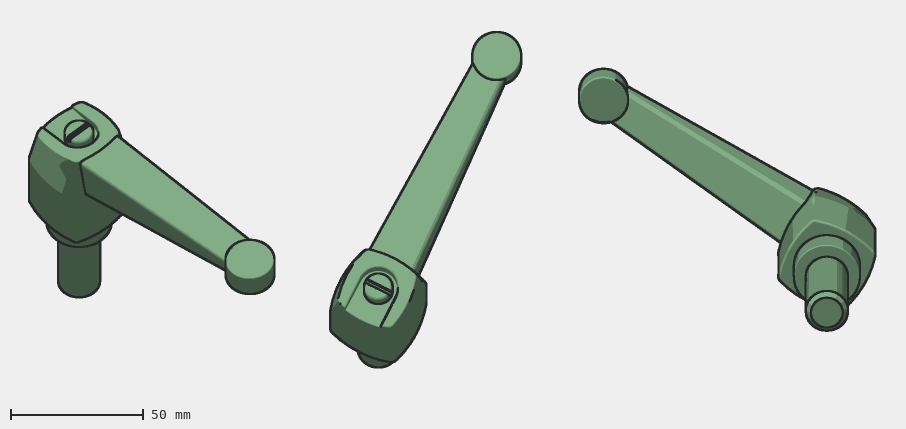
import math

import cadquery as cq


stud_diameter = 16.0
stud_length = 40.0
stud_chamfer = 2.0
collar_diameter = 25.0
collar_height = 11.5
collar_edge_radius = 0.4

hub_half_width = 16.0
hub_side_radius = 40.0
hub_corner_radius = 2.5
hub_straight_height = 27.0
hub_bottom_radius = 0.8
hub_taper_angle = 10.0
hub_top_slope = 9.5
hub_top_z = 56.3
hub_top_radius = 0.5
hub_blank_margin = 4.0

pocket_width = 14.7
pocket_floor_z = 52.6
pocket_rim_radius = 0.8
pocket_floor_radius = 0.2
screw_diameter = 11.0
screw_top_z = 57.5
screw_edge_radius = 1.45
screw_slot_width = 1.5
screw_slot_depth = 1.6

arm_root_x = 9.5
arm_root_width = 19.7
arm_root_top_z = 57.5
arm_root_bottom_z = 37.6
arm_tip_x = 92.0
arm_tip_width = 13.8
arm_tip_top_z = 73.6
arm_tip_bottom_z = 65.9
arm_edge_radius = 1.7

knob_diameter = 18.6
knob_top_z = 74.0
knob_height = 10.2
knob_edge_radius = 0.6
lever_reach = 106.0

pocket_rim_reach = pocket_width / 2 + pocket_rim_radius
hub_bottom_z = collar_height
hub_shoulder_z = hub_bottom_z + hub_straight_height
hub_blank_top_z = hub_top_z + hub_blank_margin
knob_x = lever_reach - knob_diameter / 2


def hub_outline(inset, z):
    """Square outline with bulging arc sides and rounded corners, moved inward by inset."""
    middle = hub_half_width - inset
    radius = hub_side_radius - inset
    arc_center = middle - radius
    corner = (arc_center + math.sqrt(2 * radius**2 - arc_center**2)) / 2
    prism = (
        cq.Workplane("XY")
        .moveTo(corner, corner)
        .threePointArc((0, middle), (-corner, corner))
        .threePointArc((-middle, 0), (-corner, -corner))
        .threePointArc((0, -middle), (corner, -corner))
        .threePointArc((middle, 0), (corner, corner))
        .close()
        .extrude(hub_straight_height)
        .edges("|Z")
        .fillet(hub_corner_radius)
    )
    return prism.faces("<Z").wires().val().translate(cq.Vector(0, 0, z))


def make_stud_and_collar():
    stud = (
        cq.Workplane("XY")
        .circle(stud_diameter / 2)
        .extrude(-stud_length)
        .faces("<Z")
        .chamfer(stud_chamfer)
    )
    collar = (
        cq.Workplane("XY")
        .circle(collar_diameter / 2)
        .extrude(collar_height)
        .faces("<Z")
        .edges()
        .fillet(collar_edge_radius)
    )
    return collar.union(stud)


def upper_outline_edges(taper):
    """Edges that bound the sloping sides of the taper from above."""
    split_z = (hub_shoulder_z + pocket_floor_z) / 2
    side_faces = [face for face in taper.faces().vals() if face.BoundingBox().zmin < split_z]
    sides = taper.newObject(side_faces)
    return [edge for edge in sides.edges().vals() if edge.BoundingBox().zmin > split_z]


def make_hub():
    base_wire = hub_outline(0, hub_bottom_z)
    base = cq.Workplane(cq.Solid.extrudeLinear(base_wire, [], cq.Vector(0, 0, hub_straight_height)))
    base = base.faces("<Z").edges().fillet(hub_bottom_radius)

    inset = (hub_blank_top_z - hub_shoulder_z) * math.tan(math.radians(hub_taper_angle))
    lower_wire = hub_outline(0, hub_shoulder_z)
    upper_wire = hub_outline(inset, hub_blank_top_z)
    taper = cq.Workplane(cq.Solid.makeLoft([lower_wire, upper_wire], True))

    block_size = 4 * hub_half_width
    above_top = (
        cq.Workplane("XY")
        .box(block_size, block_size, block_size, centered=(True, True, False))
        .rotate((0, 0, 0), (0, 1, 0), -hub_top_slope)
        .translate((0, 0, hub_top_z))
    )
    taper = taper.cut(above_top).cut(make_pocket())

    top_angle = math.radians(hub_top_slope)
    top_normal = cq.Vector(-math.sin(top_angle), 0, math.cos(top_angle))
    rim_box = cq.selectors.BoxSelector(
        (-hub_half_width, -pocket_rim_reach, pocket_floor_z),
        (pocket_rim_reach, pocket_rim_reach, hub_blank_top_z),
    )
    taper = taper.faces(cq.DirectionMinMaxSelector(top_normal)).edges(rim_box).fillet(pocket_rim_radius)
    taper = taper.newObject(upper_outline_edges(taper)).fillet(hub_top_radius)
    return base.union(taper)


def make_pocket():
    """Level-floored pocket, round around the screw and open toward -X, with rounded floor corners."""
    radius = pocket_width / 2
    depth = 2 * (hub_top_z - pocket_floor_z)
    open_end_x = -2 * hub_half_width
    return (
        cq.Workplane("XY", origin=(0, 0, pocket_floor_z))
        .moveTo(open_end_x, -radius)
        .lineTo(0, -radius)
        .threePointArc((radius, 0), (0, radius))
        .lineTo(open_end_x, radius)
        .close()
        .extrude(depth)
        .faces("<Z")
        .edges("not(<X)")
        .fillet(pocket_floor_radius)
    )


def make_screw():
    screw = (
        cq.Workplane("XY", origin=(0, 0, hub_shoulder_z))
        .circle(screw_diameter / 2)
        .extrude(screw_top_z - hub_shoulder_z)
        .faces(">Z")
        .edges()
        .fillet(screw_edge_radius)
    )
    slot = (
        cq.Workplane("XY", origin=(0, 0, screw_top_z))
        .rect(screw_slot_width, screw_diameter)
        .extrude(-screw_slot_depth)
    )
    return screw.cut(slot)


def arm_section(x, width, bottom_z, top_z):
    half = width / 2
    corners = [(-half, bottom_z), (half, bottom_z), (half, top_z), (-half, top_z)]
    return cq.Wire.makePolygon([cq.Vector(x, y, z) for y, z in corners], close=True)


def make_arm():
    root = arm_section(arm_root_x, arm_root_width, arm_root_bottom_z, arm_root_top_z)
    tip = arm_section(arm_tip_x, arm_tip_width, arm_tip_bottom_z, arm_tip_top_z)
    arm = cq.Workplane(cq.Solid.makeLoft([root, tip], True))
    return arm.edges("not(#X)").fillet(arm_edge_radius)


def make_knob():
    return (
        cq.Workplane("XY", origin=(knob_x, 0, knob_top_z))
        .circle(knob_diameter / 2)
        .extrude(-knob_height)
        .faces("<Z or >Z")
        .edges()
        .fillet(knob_edge_radius)
    )


lever = make_hub().union(make_arm()).union(make_knob())
result = lever.union(make_stud_and_collar()).union(make_screw())